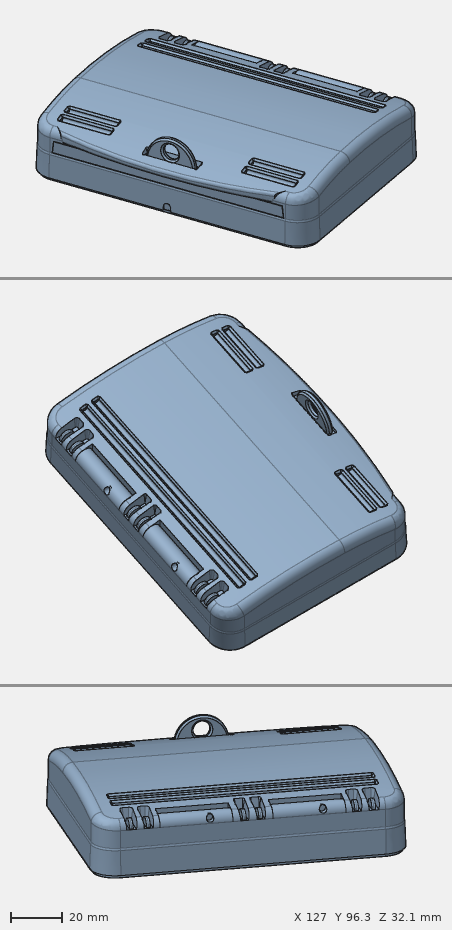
import cadquery as cq
import math

LENGTH = 127.0
DEPTH = 96.3
HEIGHT = 32.1
BACK_Y = DEPTH / 2
LIP_TIP_Y = -DEPTH / 2

MARGIN = 1.3
TOLERANCE = 0.1

BASE_DEPTH = 93.0
CORNER_R = 10.2
FOOT_INSET = 1.1
FOOT_H = 1.4
DRAFT = 0.4
RIM_Z = 11.7
LID_Z = 12.6
BASE_Y = BACK_Y - BASE_DEPTH / 2
NOTCH_R = 1.7
NOTCH_DEPTH = 0.6

LID_INSET = 0.6
CROWN_Z = 28.5
CROWN_R = 215.9
FRONT_R = 134.6
TANGENT_Y = -10.7
EDGE_R = 4.1
LID_DEPTH = BASE_DEPTH - 2 * LID_INSET
LID_BACK_Y = BACK_Y - LID_INSET
LID_FRONT_Y = LID_BACK_Y - LID_DEPTH

LIP_BOW_HALF = 48.3
LIP_BOW = 4.1
LIP_HALF = 52.8
LIP_BOTTOM_Z = 18.2
LIP_OVERLAP = 12.7
LIP_TOP_R = 1.5
LIP_BOTTOM_R = 0.8

PANEL_TOP_HALF = 51.7
PANEL_BOTTOM_HALF = 52.3
PANEL_TOP_Z = 17.8
PANEL_DEPTH = 0.4

GROOVE_W = 4.1
GROOVE_RIM = 0.9
GROOVE_CHAMFER = 0.8
GROOVE_END = 53.7
LONG_GROOVE_YS = (32.3, 26.5)
SHORT_GROOVE_L = 24.1
SHORT_GROOVE_YS = (-30.9, -36.2)
GROOVE_CORNER = 0.6

HINGE_Y = LID_BACK_Y - EDGE_R
HINGE_Z = 20.0
BARREL_L = 29.3
BARREL_X = 22.7
PIN_D = 2.9
PIN_Z = 21.8
PIN_OFFSET = 5.6
PIN_DEPTH = 2.5
SLOTS = ((48.8, 5.3, 1.5), (41.9, 5.0, 1.5), (3.3, 4.6, 0.4))
SLOT_FRONT_Y = 36.6
SLOT_DRAFT = 0.8
SLOT_RISE = 0.3
LUG_W = 1.5
LUG_R = 3.3

HASP_BACK_Y = -39.5
HASP_T = 2.8
HASP_R = 10.9
HASP_HOLE_D = 7.0
HASP_HOLE_Z = 26.3
HASP_CHAMFER = 0.8
HASP_SLOT_L = 25.7
HASP_SLOT_W = 4.8
HASP_SLOT_Y = HASP_BACK_Y - HASP_T / 2
HASP_SLOT_FLOOR = 21.6


def rear_crown_z(y):
    return CROWN_Z - CROWN_R + math.sqrt(CROWN_R**2 - y**2)


TANGENT_Z = rear_crown_z(TANGENT_Y)
FRONT_CENTER_Y = TANGENT_Y * (1 - FRONT_R / CROWN_R)
FRONT_CENTER_Z = TANGENT_Z - FRONT_R * (TANGENT_Z - CROWN_Z + CROWN_R) / CROWN_R


def crown_z(y):
    """Height of the crown at y."""
    if y > TANGENT_Y:
        return rear_crown_z(y)
    return FRONT_CENTER_Z + math.sqrt(FRONT_R**2 - (y - FRONT_CENTER_Y) ** 2)


def crown_normal(y):
    """Outward direction of the crown at y."""
    if y > TANGENT_Y:
        return (0, y, CROWN_R + crown_z(y) - CROWN_Z)
    return (0, y - FRONT_CENTER_Y, crown_z(y) - FRONT_CENTER_Z)


def box(x_size, y_min, y_max, z_min, z_max, x=0.0):
    """Block centred on x and spanning the given Y and Z limits."""
    return (
        cq.Workplane("XY")
        .box(x_size, y_max - y_min, z_max - z_min, centered=(True, False, False))
        .translate((x, y_min, z_min))
    )


def x_cylinder(radius, length, x, y, z):
    """Cylinder along X centred on the given point."""
    return cq.Workplane("YZ").circle(radius).extrude(length / 2, both=True).translate((x, y, z))


def drafted_slot(x_size, y_size, x, y, floor_z, top_z, corner_r=0.0):
    """Cutter for a slot with the given mouth at top_z, narrowing towards its floor."""
    height = top_z - floor_z
    floor = cq.Sketch().rect(x_size - 2 * SLOT_DRAFT, y_size - 2 * SLOT_DRAFT)
    if corner_r > SLOT_DRAFT:
        floor = floor.vertices().fillet(corner_r - SLOT_DRAFT)
    return (
        cq.Workplane("XY", origin=(x, y, floor_z))
        .placeSketch(floor)
        .extrude(height, taper=-math.degrees(math.atan(SLOT_DRAFT / height)))
    )


def rounded_slab(inset, z, height, lean=0.0):
    """Base outline moved in by inset, leaning in by lean over its height."""
    outline = (
        cq.Sketch()
        .rect(LENGTH - 2 * inset, BASE_DEPTH - 2 * inset)
        .vertices()
        .fillet(CORNER_R - inset)
    )
    taper = math.degrees(math.atan(lean / height))
    return (
        cq.Workplane("XY", origin=(0, BASE_Y, z))
        .placeSketch(outline)
        .extrude(height, taper=taper)
    )


def crown_block(z_bottom):
    """Block under the crown, wider and deeper than the lid."""
    y_back = BACK_Y + MARGIN
    y_front = LIP_TIP_Y - MARGIN
    y_rear_mid = (y_back + TANGENT_Y) / 2
    y_front_mid = (y_front + TANGENT_Y) / 2
    return (
        cq.Workplane("YZ")
        .moveTo(y_back, z_bottom)
        .lineTo(y_back, crown_z(y_back))
        .threePointArc((y_rear_mid, crown_z(y_rear_mid)), (TANGENT_Y, TANGENT_Z))
        .threePointArc((y_front_mid, crown_z(y_front_mid)), (y_front, crown_z(y_front)))
        .lineTo(y_front, z_bottom)
        .close()
        .extrude(LENGTH / 2 + MARGIN, both=True)
    )


def make_base():
    foot = rounded_slab(FOOT_INSET, 0, FOOT_H)
    wall = rounded_slab(0, FOOT_H, RIM_Z - FOOT_H, lean=DRAFT)
    rim = rounded_slab(DRAFT, RIM_Z, LID_Z - RIM_Z, lean=LID_INSET - DRAFT)
    notch_front_y = BACK_Y - BASE_DEPTH
    notch = (
        cq.Workplane("XZ", origin=(0, notch_front_y + NOTCH_DEPTH, FOOT_H + NOTCH_R))
        .moveTo(-NOTCH_R, -NOTCH_R)
        .lineTo(-NOTCH_R, 0)
        .threePointArc((0, NOTCH_R), (NOTCH_R, 0))
        .lineTo(NOTCH_R, -NOTCH_R)
        .close()
        .extrude(NOTCH_DEPTH)
    )
    return foot.union(wall).union(rim).cut(notch)


LID_FRONT_EDGE_Z = crown_z(LID_FRONT_Y)


def is_lid_rim(edge):
    """True for the edges between the crown and the walls."""
    center = edge.Center()
    on_seam = abs(center.x) < TOLERANCE and abs(center.y - TANGENT_Y) < TOLERANCE
    return center.z > LID_FRONT_EDGE_Z - TOLERANCE and not on_seam


def make_lid():
    walls = rounded_slab(LID_INSET, LID_Z, CROWN_Z + MARGIN - LID_Z)
    lid = walls.intersect(crown_block(LID_Z))
    lid = lid.edges().filter(is_lid_rim).fillet(EDGE_R)
    panel = (
        cq.Workplane("XZ", origin=(0, LID_FRONT_Y + PANEL_DEPTH, 0))
        .moveTo(-PANEL_BOTTOM_HALF, LID_Z)
        .lineTo(-PANEL_TOP_HALF, PANEL_TOP_Z)
        .lineTo(PANEL_TOP_HALF, PANEL_TOP_Z)
        .lineTo(PANEL_BOTTOM_HALF, LID_Z)
        .close()
        .extrude(PANEL_DEPTH)
    )
    return lid.cut(panel)


def make_lip():
    """Segment under the crown that emerges from the rounded front edge of the lid."""
    start_y = LID_FRONT_Y + EDGE_R
    inner_y = start_y + LIP_OVERLAP
    plan = (
        cq.Workplane("XY", origin=(0, 0, LIP_BOTTOM_Z))
        .moveTo(-LIP_HALF, start_y)
        .lineTo(-LIP_BOW_HALF, LIP_TIP_Y + LIP_BOW)
        .threePointArc((0, LIP_TIP_Y), (LIP_BOW_HALF, LIP_TIP_Y + LIP_BOW))
        .lineTo(LIP_HALF, start_y)
        .lineTo(LIP_HALF, inner_y)
        .lineTo(-LIP_HALF, inner_y)
        .close()
        .extrude(CROWN_Z - LIP_BOTTOM_Z)
    )
    lip = plan.intersect(crown_block(LIP_BOTTOM_Z))
    lip = lip.faces("<Y").edges(">Z").fillet(LIP_TOP_R)
    return lip.faces("<Z").edges("%CIRCLE").fillet(LIP_BOTTOM_R)


def groove(length, x, y):
    """Trough along X with a chamfered border, sunk square to the crown."""
    crown_plane = cq.Plane(origin=(x, y, crown_z(y)), xDir=(1, 0, 0), normal=crown_normal(y))
    border = (
        cq.Workplane(crown_plane)
        .workplane(offset=-GROOVE_RIM)
        .rect(length, GROOVE_W)
        .extrude(GROOVE_RIM + MARGIN)
    )
    border = border.edges(cq.selectors.ParallelDirSelector(crown_plane.zDir)).chamfer(GROOVE_CORNER)
    border = border.faces("<Z").chamfer(GROOVE_CHAMFER)
    trough_l = length - 2 * GROOVE_RIM
    trough_r = GROOVE_W / 2 - GROOVE_RIM
    floor = crown_plane.toWorldCoords((0, 0, -GROOVE_RIM)).toTuple()
    return border.union(x_cylinder(trough_r, trough_l, *floor))


def make_grooves():
    cutters = [groove(2 * GROOVE_END, 0, y) for y in LONG_GROOVE_YS]
    short_x = GROOVE_END - SHORT_GROOVE_L / 2
    for y in SHORT_GROOVE_YS:
        for x in (-short_x, short_x):
            cutters.append(groove(SHORT_GROOVE_L, x, y))
    return cutters


def hinge_barrel(x):
    return x_cylinder(EDGE_R, BARREL_L, x, HINGE_Y, HINGE_Z)


def hinge_slot(x, width, corner_r):
    """Slot open to the back, with a round lug left standing in it."""
    length = 2 * (BACK_Y - SLOT_FRONT_Y)
    mouth_z = crown_z(SLOT_FRONT_Y) + SLOT_RISE
    slot = drafted_slot(width, length, x, BACK_Y, HINGE_Z, mouth_z, corner_r)
    return slot.cut(x_cylinder(LUG_R, LUG_W, x, HINGE_Y, HINGE_Z))


def make_hinge(body):
    """Set the barrels into the back edge and cut their pin holes and the hinge slots."""
    pocket_front_y = HINGE_Y - EDGE_R
    for side in (-1, 1):
        barrel_x = side * BARREL_X
        pocket = box(BARREL_L, pocket_front_y, BACK_Y + MARGIN, HINGE_Z, CROWN_Z, barrel_x)
        body = body.cut(pocket).union(hinge_barrel(barrel_x))
        pin_hole = (
            cq.Workplane("XZ", origin=(barrel_x - PIN_OFFSET, LID_BACK_Y, PIN_Z))
            .circle(PIN_D / 2)
            .extrude(PIN_DEPTH)
        )
        body = body.cut(pin_hole)
        for x, width, corner_r in SLOTS:
            body = body.cut(hinge_slot(side * x, width, corner_r))
    return body


def make_hasp():
    """Half-round upright plate with a chamfered hole."""
    hasp = (
        cq.Workplane("XZ", origin=(0, HASP_BACK_Y, HEIGHT - HASP_R))
        .moveTo(-HASP_R, 0)
        .threePointArc((0, HASP_R), (HASP_R, 0))
        .close()
        .extrude(HASP_T)
    )
    hole = (
        cq.Workplane("XZ", origin=(0, HASP_BACK_Y, HASP_HOLE_Z))
        .circle(HASP_HOLE_D / 2)
        .extrude(HASP_T)
    )
    return hasp.cut(hole).faces("<Y or >Y").edges("%CIRCLE").chamfer(HASP_CHAMFER)


def make_hasp_slot():
    mouth_z = crown_z(HASP_SLOT_Y + HASP_SLOT_W / 2) + SLOT_RISE
    return drafted_slot(HASP_SLOT_L, HASP_SLOT_W, 0, HASP_SLOT_Y, HASP_SLOT_FLOOR, mouth_z)


body = make_base().union(make_lid()).union(make_lip())
for cutter in make_grooves():
    body = body.cut(cutter)
body = make_hinge(body)
body = body.cut(make_hasp_slot())
result = body.union(make_hasp())